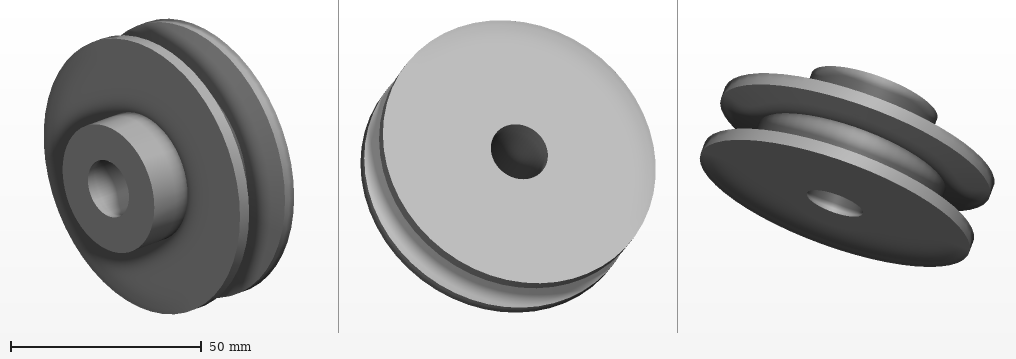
import cadquery as cq

rim_diameter = 75.0
groove_floor_diameter = 52.0
hub_diameter = 35.0
bore_diameter = 15.7
total_length = 31.5
wheel_width = 19.5
groove_mouth_width = 12.9
groove_floor_width = 7.5

rim_radius = rim_diameter / 2
floor_radius = groove_floor_diameter / 2
hub_radius = hub_diameter / 2
bore_radius = bore_diameter / 2
wheel_front = total_length - wheel_width
groove_center = wheel_front + wheel_width / 2
mouth_half = groove_mouth_width / 2
floor_half = groove_floor_width / 2

profile = [
    (bore_radius, 0),
    (hub_radius, 0),
    (hub_radius, wheel_front),
    (rim_radius, wheel_front),
    (rim_radius, groove_center - mouth_half),
    (floor_radius, groove_center - floor_half),
    (floor_radius, groove_center + floor_half),
    (rim_radius, groove_center + mouth_half),
    (rim_radius, total_length),
    (bore_radius, total_length),
]

result = cq.Workplane("XY").polyline(profile).close().revolve(360, (0, 0, 0), (0, 1, 0))